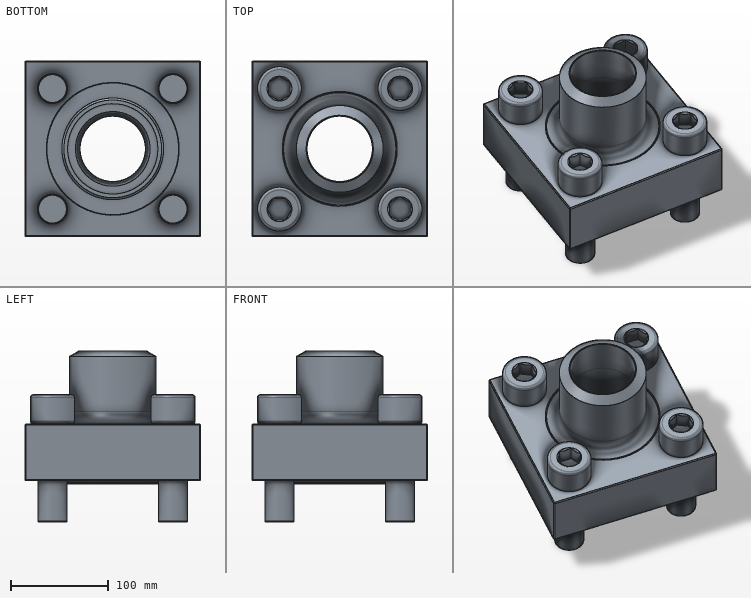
import cadquery as cq
import math

FLANGE_SIDE = 180.0
FLANGE_HEIGHT = 58.0
FLANGE_CHAMFER = 1.0

NECK_DIAMETER = 89.0
NECK_HEIGHT = 74.9
TIP_DIAMETER = 69.0
TIP_HEIGHT = 5.8
HUB_DIAMETER = 115.0
COLLAR_DIAMETER = 135.0
COLLAR_DROP = 1.6
BORE_DIAMETER = 67.0
BORE_MOUTH_DIAMETER = 76.5
BORE_TAPER_DEPTH = 37.8

HUB_HOLE_DIAMETER = 115.5
COLLAR_RECESS_DIAMETER = 136.0
COLLAR_RECESS_DEPTH = 24.1
SCREW_HOLE_DIAMETER = 31.0

SEAL_INNER_DIAMETER = 92.5
SEAL_OUTER_DIAMETER = 104.2
SEAL_HEIGHT = 7.2
SEAL_DROP = 3.6
SEAL_BEVEL_HEIGHT = 1.5
SEAL_BEVEL_ANGLE = 35.0

SCREW_COUNT = 4
SCREW_SPACING = 123.5
SCREW_DIAMETER = 30.0
SCREW_LENGTH = 100.0
SCREW_TIP_CHAMFER = 0.7
HEAD_DIAMETER = 45.0
HEAD_HEIGHT = 30.0
HEAD_FILLET = 3.0
SOCKET_CORNERS = 25.4
SOCKET_DEPTH = 17.0
COUNTERSINK_ANGLE = 45.0

HUB_FILLET = (HUB_DIAMETER - NECK_DIAMETER) / 2
NECK_TOP = FLANGE_HEIGHT + NECK_HEIGHT


def cylinder(diameter, bottom, height):
    """Upright cylinder on the Z axis."""
    return cq.Workplane("XY").workplane(offset=bottom).circle(diameter / 2).extrude(height)


def turn(profile):
    """Solid of revolution about Z from a closed (radius, height) profile."""
    return profile.close().revolve(360, (0, 0, 0), (0, 1, 0))


def make_flange():
    flange = cq.Workplane("XY").box(FLANGE_SIDE, FLANGE_SIDE, FLANGE_HEIGHT, centered=(True, True, False))
    flange = flange.edges().chamfer(FLANGE_CHAMFER)

    hub_hole = cylinder(HUB_HOLE_DIAMETER, 0, FLANGE_HEIGHT)
    flange = flange.cut(hub_hole)
    hole_rim = cq.selectors.RadiusNthSelector(0)
    flange = flange.faces(">Z").edges("%CIRCLE").edges(hole_rim).chamfer(FLANGE_CHAMFER)

    collar_recess = cylinder(COLLAR_RECESS_DIAMETER, 0, COLLAR_RECESS_DEPTH)
    screw_holes = (
        cq.Workplane("XY")
        .rect(SCREW_SPACING, SCREW_SPACING, forConstruction=True)
        .vertices()
        .circle(SCREW_HOLE_DIAMETER / 2)
        .extrude(FLANGE_HEIGHT)
    )
    return flange.cut(collar_recess).cut(screw_holes)


def make_seal():
    inner = SEAL_INNER_DIAMETER / 2
    outer = SEAL_OUTER_DIAMETER / 2
    bottom = -SEAL_DROP
    top = bottom + SEAL_HEIGHT
    bevel_width = SEAL_BEVEL_HEIGHT / math.tan(math.radians(SEAL_BEVEL_ANGLE))
    profile = cq.Workplane("XZ").polyline([
        (inner, top),
        (outer, top),
        (outer, bottom + SEAL_BEVEL_HEIGHT),
        (outer - bevel_width, bottom),
        (inner, bottom),
    ])
    return turn(profile)


def make_neck():
    neck = NECK_DIAMETER / 2
    hub = HUB_DIAMETER / 2
    collar = COLLAR_DIAMETER / 2
    bore = BORE_DIAMETER / 2
    fillet_middle = HUB_FILLET * (1 - math.sqrt(0.5))
    profile = (
        cq.Workplane("XZ")
        .moveTo(BORE_MOUTH_DIAMETER / 2, -COLLAR_DROP)
        .lineTo(collar, -COLLAR_DROP)
        .lineTo(collar, COLLAR_RECESS_DEPTH)
        .lineTo(hub, COLLAR_RECESS_DEPTH)
        .lineTo(hub, FLANGE_HEIGHT)
        .threePointArc(
            (neck + fillet_middle, FLANGE_HEIGHT + fillet_middle),
            (neck, FLANGE_HEIGHT + HUB_FILLET),
        )
        .lineTo(neck, NECK_TOP - TIP_HEIGHT)
        .lineTo(TIP_DIAMETER / 2, NECK_TOP)
        .lineTo(bore, NECK_TOP)
        .lineTo(bore, NECK_TOP - BORE_TAPER_DEPTH)
    )
    seal_groove = cylinder(SEAL_OUTER_DIAMETER, -SEAL_DROP, SEAL_HEIGHT).cut(
        cylinder(SEAL_INNER_DIAMETER, -SEAL_DROP, SEAL_HEIGHT)
    )
    return turn(profile).cut(seal_groove)


def make_screw():
    """Screw on the Z axis, with the underside of its head at Z = 0."""
    shank = cylinder(SCREW_DIAMETER, -SCREW_LENGTH, SCREW_LENGTH)
    shank = shank.faces("<Z").chamfer(SCREW_TIP_CHAMFER)
    head = cylinder(HEAD_DIAMETER, 0, HEAD_HEIGHT).edges("%CIRCLE").fillet(HEAD_FILLET)

    socket = (
        cq.Workplane("XY")
        .workplane(offset=HEAD_HEIGHT - SOCKET_DEPTH)
        .polygon(6, SOCKET_CORNERS)
        .extrude(SOCKET_DEPTH)
    )
    rim = SOCKET_CORNERS / 2
    cone_depth = rim * math.tan(math.radians(COUNTERSINK_ANGLE))
    countersink = turn(
        cq.Workplane("XZ").polyline([(0, HEAD_HEIGHT), (rim, HEAD_HEIGHT), (0, HEAD_HEIGHT - cone_depth)])
    )
    return head.union(shank).cut(socket).cut(countersink)


def make_screws():
    """Screws at the corners of the flange, each turned with its place around the Z axis."""
    first_corner = (-SCREW_SPACING / 2, -SCREW_SPACING / 2, FLANGE_HEIGHT)
    first_screw = make_screw().translate(first_corner)
    step = 360 / SCREW_COUNT
    return [first_screw.rotate((0, 0, 0), (0, 0, 1), i * step) for i in range(SCREW_COUNT)]


flange = make_flange()
neck = make_neck()
seal = make_seal()
screws = make_screws()

result = cq.Compound.makeCompound([
    flange.val(),
    neck.val(),
    seal.val(),
    *[screw.val() for screw in screws],
])